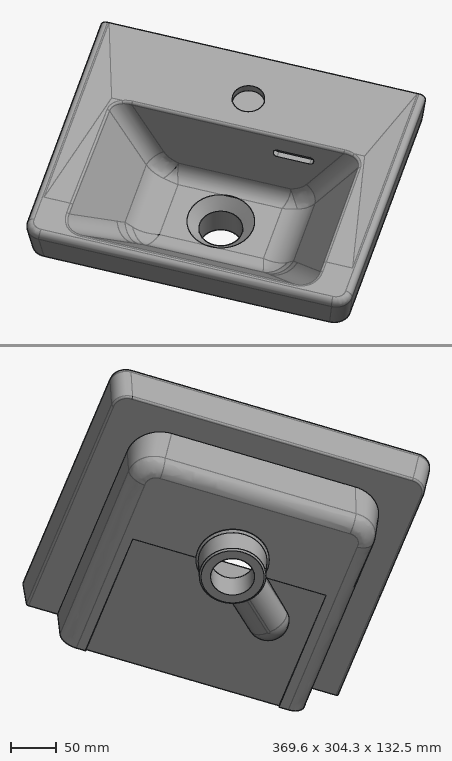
import cadquery as cq
import math


WIDTH = 369.56
LENGTH = 304.3
HEIGHT = 132.52

RIM_HEIGHT = 47.0
RIM_EDGE_RADIUS = 7.5
RIM_LOWER_RADIUS = 2.5
RIM_CORNER_RADIUS = 18.0
RIM_SIDE_DRAFT = math.radians(6.5)
RIM_FRONT_DRAFT = math.radians(10.0)

BODY_TOP_HALF_WIDTH = 144.5
BODY_LOW_HALF_WIDTH = 140.5
BODY_TOP_FRONT = 267.0
BODY_LOW_FRONT = 253.0
BODY_TOP_CORNER_RADIUS = 38.0
BODY_LOW_CORNER_RADIUS = 28.0
BODY_BACK_DEPTH = 102.2
BODY_FRONT_DEPTH = 97.0
BODY_LOWER_RADIUS = 19.0
ARCH_DEPTH = 99.5
ARCH_HALF_WIDTH = 112.0
ARCH_LENGTH = 155.0

DIP_DEPTH = 2.5
DIP_HALF_WIDTH = 175.6
DIP_END = 253.0

BOWL_DEPTH = 87.0
BOWL_TOP_HALF_WIDTH = 144.0
BOWL_FLOOR_HALF_WIDTH = 82.5
BOWL_TOP_BACK = 98.0
BOWL_FLOOR_BACK = 114.5
BOWL_TOP_FRONT = 292.5
BOWL_FLOOR_FRONT = 219.0
BOWL_SIDE_RADIUS = 45.0
BOWL_BACK_RADIUS = 18.0
BOWL_FRONT_RADIUS = 37.0
BOWL_FRONT_CORNER_RADIUS = 30.0
BOWL_BACK_CORNER_RADIUS = 18.0
BOWL_LIP_RADIUS = 3.5

DRAIN_Y = -165.3
DRAIN_TOP_RADIUS = 37.6
DRAIN_LOW_RADIUS = 36.4
DRAIN_FLARE = 2.5
DRAIN_CHAMFER = 2.0
DRAIN_CONE_RADIUS = 37.0
DRAIN_CONE_DEPTH = 12.5
DRAIN_HOLE_RADIUS = 24.0

TAP_Y = -57.8
TAP_RADIUS = 17.8
TAP_DEPTH = 10.0

OVERFLOW_X = 64.5
OVERFLOW_Z = -26.5
OVERFLOW_LENGTH = 46.0
OVERFLOW_HEIGHT = 9.0
OVERFLOW_DEPTH = 6.0
CHANNEL_END = (64.5, -102.0)
CHANNEL_TOP_RADIUS = 23.0
CHANNEL_DEPTH = 129.5
CHANNEL_EDGE_RADIUS = 21.5
CHANNEL_TILT = 5.0

OVERCUT = 20.0
UNDER_OVERLAP = 6.0
MARGIN = 1.0
TOUCHING = 0.001


def front_rounded_outline(z, half_width, front, corner_radius):
    """Rectangle from the wall to the front, with both front corners rounded."""
    corner_x = half_width - corner_radius
    corner_y = -front + corner_radius
    diagonal = corner_radius * math.sqrt(0.5)
    return (
        cq.Workplane("XY", origin=(0, 0, z))
        .moveTo(-half_width, 0)
        .lineTo(half_width, 0)
        .lineTo(half_width, corner_y)
        .threePointArc((corner_x + diagonal, corner_y - diagonal), (corner_x, -front))
        .lineTo(-corner_x, -front)
        .threePointArc((-corner_x - diagonal, corner_y - diagonal), (-half_width, corner_y))
        .close()
        .wires()
        .val()
    )


def sharp_reach(reach, draft):
    """Reach of the sharp top edge of a drafted wall, before rounding trims it to `reach`."""
    return reach + RIM_EDGE_RADIUS * (math.tan(draft) + 1 / math.cos(draft) - 1)


def make_rim():
    half_width = sharp_reach(WIDTH / 2, RIM_SIDE_DRAFT)
    front = sharp_reach(LENGTH, RIM_FRONT_DRAFT)
    low_half_width = half_width - RIM_HEIGHT * math.tan(RIM_SIDE_DRAFT)
    low_front = front - RIM_HEIGHT * math.tan(RIM_FRONT_DRAFT)
    top = front_rounded_outline(0, half_width, front, RIM_CORNER_RADIUS)
    bottom = front_rounded_outline(-RIM_HEIGHT, low_half_width, low_front, RIM_CORNER_RADIUS)
    rim = cq.Workplane(obj=cq.Solid.makeLoft([top, bottom], True))
    rim = rim.faces(">Z").edges("not(>Y)").fillet(RIM_EDGE_RADIUS)
    return rim.faces("<Z").edges("not(>Y)").fillet(RIM_LOWER_RADIUS)


def make_body():
    top = front_rounded_outline(
        -RIM_HEIGHT, BODY_TOP_HALF_WIDTH, BODY_TOP_FRONT, BODY_TOP_CORNER_RADIUS
    )
    bottom = front_rounded_outline(
        -BODY_BACK_DEPTH, BODY_LOW_HALF_WIDTH, BODY_LOW_FRONT, BODY_LOW_CORNER_RADIUS
    )
    body = cq.Workplane(obj=cq.Solid.makeLoft([top, bottom], True))
    below = (
        cq.Workplane("YZ")
        .moveTo(OVERCUT, -BODY_BACK_DEPTH)
        .lineTo(0, -BODY_BACK_DEPTH)
        .lineTo(-LENGTH, -BODY_FRONT_DEPTH)
        .lineTo(-LENGTH, -HEIGHT)
        .lineTo(OVERCUT, -HEIGHT)
        .close()
        .extrude(WIDTH / 2, both=True)
    )
    body = body.cut(below)
    body = body.faces("<Z").edges("not(>Y)").fillet(BODY_LOWER_RADIUS)
    arch = cq.Workplane("XY").box(
        2 * ARCH_HALF_WIDTH, ARCH_LENGTH, HEIGHT - ARCH_DEPTH, centered=(True, False, False)
    ).translate((0, -ARCH_LENGTH, -HEIGHT))
    return body.cut(arch)


def trough(plane, low_side, high_side, half_length):
    """Long trough with sloping walls and rounded floor edges, run both ways from `plane`.

    Each side is (position at deck height, position at floor depth, floor edge radius).
    """
    run_up = (BOWL_DEPTH + OVERCUT) / BOWL_DEPTH
    low_top, low_floor, low_radius = low_side
    high_top, high_floor, high_radius = high_side
    block = (
        cq.Workplane(plane)
        .moveTo(low_floor, -BOWL_DEPTH)
        .lineTo(high_floor, -BOWL_DEPTH)
        .lineTo(high_floor + run_up * (high_top - high_floor), OVERCUT)
        .lineTo(low_floor + run_up * (low_top - low_floor), OVERCUT)
        .close()
        .extrude(half_length, both=True)
    )
    axis = plane[0]
    block = block.faces("<Z").edges("<" + axis).fillet(low_radius)
    return block.faces("<Z").edges(">" + axis).fillet(high_radius)


def round_corners(bowl, end, radius):
    """Round the two rising corner edges of the bowl at its front or back end."""
    end_vertices = bowl.faces(">Z").vertices(end).vals()
    corners = [vertex.Center() for vertex in end_vertices]

    def rises_from_corner(edge):
        points = [vertex.Center() for vertex in edge.Vertices()]
        return any((point - corner).Length < TOUCHING for point in points for corner in corners)

    rising = [edge for edge in bowl.edges("not(#Z)").vals() if rises_from_corner(edge)]
    return cq.Workplane(obj=bowl.val().fillet(radius, rising))


def make_bowl():
    side = (BOWL_TOP_HALF_WIDTH, BOWL_FLOOR_HALF_WIDTH, BOWL_SIDE_RADIUS)
    opposite = (-BOWL_TOP_HALF_WIDTH, -BOWL_FLOOR_HALF_WIDTH, BOWL_SIDE_RADIUS)
    front = (-BOWL_TOP_FRONT, -BOWL_FLOOR_FRONT, BOWL_FRONT_RADIUS)
    back = (-BOWL_TOP_BACK, -BOWL_FLOOR_BACK, BOWL_BACK_RADIUS)
    across = trough("XZ", opposite, side, 2 * LENGTH)
    along = trough("YZ", front, back, WIDTH)
    bowl = across.intersect(along)
    bowl = round_corners(bowl, "<Y", BOWL_FRONT_CORNER_RADIUS)
    return round_corners(bowl, ">Y", BOWL_BACK_CORNER_RADIUS)


def make_drain_boss():
    """Tapered spigot that flares where it meets the underside."""
    flare_z = -ARCH_DEPTH - DRAIN_FLARE
    boss = (
        cq.Workplane("XZ", origin=(0, DRAIN_Y, 0))
        .moveTo(0, -HEIGHT)
        .lineTo(DRAIN_LOW_RADIUS, -HEIGHT)
        .lineTo(DRAIN_TOP_RADIUS, flare_z)
        .lineTo(DRAIN_TOP_RADIUS + DRAIN_FLARE, -ARCH_DEPTH)
        .lineTo(DRAIN_TOP_RADIUS + DRAIN_FLARE, -ARCH_DEPTH + UNDER_OVERLAP)
        .lineTo(0, -ARCH_DEPTH + UNDER_OVERLAP)
        .close()
        .revolve(360, (0, 0, 0), (0, 1, 0))
    )
    return boss.faces("<Z").chamfer(DRAIN_CHAMFER)


def make_drain_hole():
    cone_bottom = -BOWL_DEPTH - DRAIN_CONE_DEPTH
    return (
        cq.Workplane("XZ", origin=(0, DRAIN_Y, 0))
        .moveTo(0, -HEIGHT - OVERCUT)
        .lineTo(DRAIN_HOLE_RADIUS, -HEIGHT - OVERCUT)
        .lineTo(DRAIN_HOLE_RADIUS, cone_bottom)
        .lineTo(DRAIN_CONE_RADIUS, -BOWL_DEPTH)
        .lineTo(0, -BOWL_DEPTH)
        .close()
        .revolve(360, (0, 0, 0), (0, 1, 0))
    )


def make_overflow_channel():
    """Rounded hump under the basin from the overflow down to the drain boss."""
    run_x, end_y = CHANNEL_END
    run_y = end_y - DRAIN_Y
    run = math.hypot(run_x, run_y)
    angle = math.degrees(math.atan2(run_y, run_x))
    height = CHANNEL_DEPTH - ARCH_DEPTH + UNDER_OVERLAP
    channel = (
        cq.Workplane("XY", origin=(run / 2, 0, -CHANNEL_DEPTH))
        .slot2D(run + 2 * CHANNEL_TOP_RADIUS, 2 * CHANNEL_TOP_RADIUS)
        .extrude(height)
        .faces("<Z")
        .edges()
        .fillet(CHANNEL_EDGE_RADIUS)
    )
    pivot = (0, 0, -CHANNEL_DEPTH)
    channel = channel.rotate(pivot, (0, 1, -CHANNEL_DEPTH), -CHANNEL_TILT)
    channel = channel.rotate((0, 0, 0), (0, 0, 1), angle)
    return channel.translate((0, DRAIN_Y, 0))


def make_overflow_slot():
    wall_slope = (BOWL_FLOOR_BACK - BOWL_TOP_BACK) / BOWL_DEPTH
    wall_y = -BOWL_TOP_BACK + wall_slope * OVERFLOW_Z
    return (
        cq.Workplane("XZ", origin=(OVERFLOW_X, wall_y + OVERFLOW_DEPTH, OVERFLOW_Z))
        .slot2D(OVERFLOW_LENGTH, OVERFLOW_HEIGHT)
        .extrude(2 * OVERFLOW_DEPTH)
    )


def make_tap_hole():
    return cq.Workplane("XY", origin=(0, TAP_Y, -TAP_DEPTH)).circle(TAP_RADIUS).extrude(TAP_DEPTH + OVERCUT)


def make_deck_dip():
    """Shallow hipped hollow, deepest along the back edge of the bowl, fading out toward the front."""
    across = (
        cq.Workplane("XZ")
        .moveTo(-DIP_HALF_WIDTH, 0)
        .lineTo(-BOWL_TOP_HALF_WIDTH, -DIP_DEPTH)
        .lineTo(BOWL_TOP_HALF_WIDTH, -DIP_DEPTH)
        .lineTo(DIP_HALF_WIDTH, 0)
        .close()
        .extrude(LENGTH)
    )
    along = (
        cq.Workplane("YZ")
        .moveTo(0, 0)
        .lineTo(-BOWL_TOP_BACK, -DIP_DEPTH)
        .lineTo(-DIP_END, 0)
        .close()
        .extrude(WIDTH / 2, both=True)
    )
    return across.intersect(along)


def round_bowl_lip(rim):
    """Soften the edge where the deck meets the bowl."""
    lip_zone = cq.selectors.BoxSelector(
        (-BOWL_TOP_HALF_WIDTH - MARGIN, -BOWL_TOP_FRONT - MARGIN, -DIP_DEPTH - MARGIN),
        (BOWL_TOP_HALF_WIDTH + MARGIN, -BOWL_TOP_BACK + MARGIN, MARGIN),
        boundingbox=True,
    )
    return rim.edges(lip_zone).fillet(BOWL_LIP_RADIUS)


bowl_space = make_bowl()
rim = round_bowl_lip(make_rim().cut(make_deck_dip()).cut(bowl_space))
underside = make_body().union(make_overflow_channel()).union(make_drain_boss()).cut(bowl_space)
basin = rim.union(underside)
result = basin.cut(make_drain_hole()).cut(make_overflow_slot()).cut(make_tap_hole())